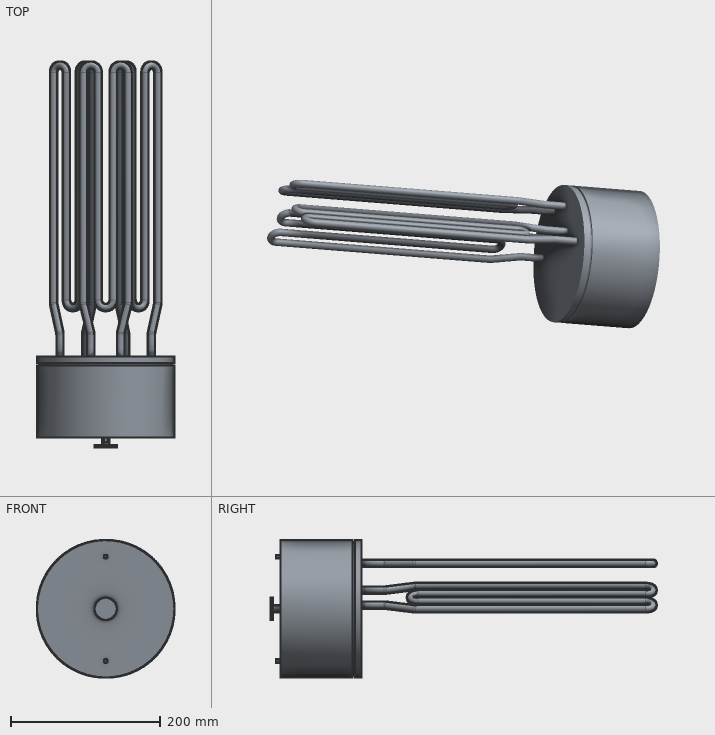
import cadquery as cq
import math

housing_diameter = 185.0
housing_length = 97.0
neck_diameter = 179.0
neck_length = 3.0
flange_thickness = 9.0
flange_front_y = housing_length + neck_length
flange_back_y = flange_front_y + flange_thickness

pin_diameter = 5.0
pin_length = 6.0
pin_offset = 70.0
knob_shaft_diameter = 10.0
knob_disc_diameter = 30.0
knob_disc_thickness = 3.0
knob_shaft_length = 10.0

tube_diameter = 10.0
leg_pitch = 20.0
bend_radius = leg_pitch / 2
outer_leg_offset = 1.5 * leg_pitch
inner_leg_offset = 0.5 * leg_pitch
element_reach = 396.0
stem_length = 31.0
stem_offset = 20.0
kink_run = 40.0
kink_radius = 10.0
near_bend_distance = 75.5
far_bend_y = flange_back_y + element_reach - bend_radius - tube_diameter / 2
near_bend_y = flange_back_y + near_bend_distance

top_element_z = 61.0
side_element_x = 44.0
side_element_z = 15.0
side_element_tilt = 30.0
element_places = [
    (0.0, top_element_z, 0.0),
    (-side_element_x, side_element_z, side_element_tilt),
    (side_element_x, side_element_z, -side_element_tilt),
]


def cylinder_along_y(diameter, start_y, length, z=0.0):
    """A cylinder that starts at start_y and runs towards +Y."""
    plane = cq.Plane(origin=(0, start_y, z), xDir=(1, 0, 0), normal=(0, 1, 0))
    return cq.Workplane(plane).circle(diameter / 2).extrude(length)


def make_housing():
    body = cylinder_along_y(housing_diameter, 0, housing_length)
    neck = cylinder_along_y(neck_diameter, housing_length, neck_length)
    return body.union(neck)


def make_flange():
    return cylinder_along_y(housing_diameter, flange_front_y, flange_thickness)


def make_pin(z):
    return cylinder_along_y(pin_diameter, -pin_length, pin_length, z)


def make_knob():
    shaft = cylinder_along_y(knob_shaft_diameter, -knob_shaft_length, knob_shaft_length)
    disc_front_y = -knob_shaft_length - knob_disc_thickness
    disc = cylinder_along_y(knob_disc_diameter, disc_front_y, knob_disc_thickness)
    return shaft.union(disc)


def kink_bends():
    """The round bends at both ends of the +X slanted run, each as start, middle and end points."""
    kink_angle = math.atan2(outer_leg_offset - stem_offset, kink_run)
    tangent = kink_radius * math.tan(kink_angle / 2)
    slant_x = tangent * math.sin(kink_angle)
    slant_y = tangent * math.cos(kink_angle)
    mid_x = kink_radius * (1 - math.cos(kink_angle / 2))
    mid_y = kink_radius * math.sin(kink_angle / 2)
    stem_corner_y = flange_back_y + stem_length
    leg_corner_y = stem_corner_y + kink_run

    stem_bend = [
        (stem_offset, stem_corner_y - tangent),
        (stem_offset + mid_x, stem_corner_y - tangent + mid_y),
        (stem_offset + slant_x, stem_corner_y + slant_y),
    ]
    leg_bend = [
        (outer_leg_offset - slant_x, leg_corner_y - slant_y),
        (outer_leg_offset - mid_x, leg_corner_y + tangent - mid_y),
        (outer_leg_offset, leg_corner_y + tangent),
    ]
    return stem_bend, leg_bend


def mirrored(points):
    """The same points on the -X side."""
    return [(-x, y) for x, y in points]


def element_path():
    """Centre line from one stem through the four legs and their three U-bends to the other stem."""
    stem_bend, leg_bend = kink_bends()
    stem_start, stem_middle, stem_end = mirrored(stem_bend)
    leg_start, leg_middle, leg_end = mirrored(leg_bend)
    far_peak_y = far_bend_y + bend_radius
    near_peak_y = near_bend_y - bend_radius
    return (
        cq.Workplane("XY")
        .moveTo(-stem_offset, flange_back_y)
        .lineTo(*stem_start)
        .threePointArc(stem_middle, stem_end)
        .lineTo(*leg_start)
        .threePointArc(leg_middle, leg_end)
        .lineTo(-outer_leg_offset, far_bend_y)
        .threePointArc((-leg_pitch, far_peak_y), (-inner_leg_offset, far_bend_y))
        .lineTo(-inner_leg_offset, near_bend_y)
        .threePointArc((0, near_peak_y), (inner_leg_offset, near_bend_y))
        .lineTo(inner_leg_offset, far_bend_y)
        .threePointArc((leg_pitch, far_peak_y), (outer_leg_offset, far_bend_y))
        .lineTo(*leg_bend[2])
        .threePointArc(leg_bend[1], leg_bend[0])
        .lineTo(*stem_bend[2])
        .threePointArc(stem_bend[1], stem_bend[0])
        .lineTo(stem_offset, flange_back_y)
    )


def make_element(centre_x, centre_z, tilt):
    """Sweep the tube along its path, then tilt the element and move it into place."""
    start = cq.Plane(origin=(-stem_offset, flange_back_y, 0), xDir=(1, 0, 0), normal=(0, 1, 0))
    tube = cq.Workplane(start).circle(tube_diameter / 2).sweep(element_path())
    tilted = tube.rotate((0, 0, 0), (0, 1, 0), -tilt)
    return tilted.translate((centre_x, 0, centre_z))


housing = make_housing()
flange = make_flange()
knob = make_knob()
pins = [make_pin(z) for z in (pin_offset, -pin_offset)]
elements = [make_element(*place) for place in element_places]

result = cq.Compound.makeCompound(
    [
        housing.val(),
        flange.val(),
        knob.val(),
        *[pin.val() for pin in pins],
        *[element.val() for element in elements],
    ]
)